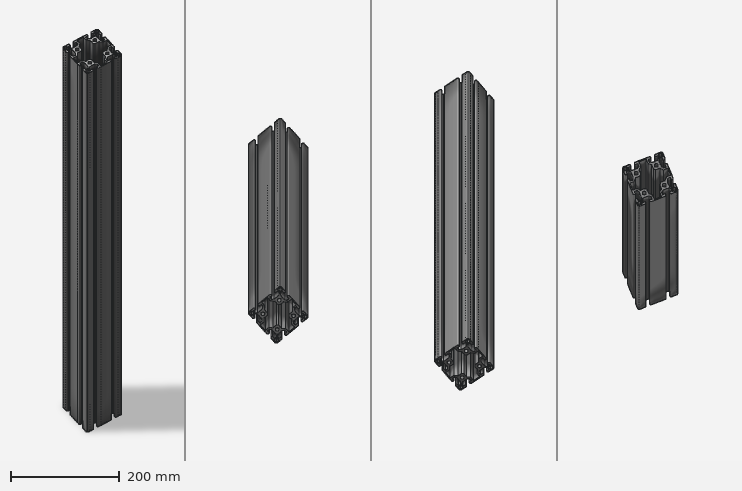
import cadquery as cq
import math

side = 80.0
length = 1000.0
half = side / 2
corner_radius = 4.0

slot_center = 20.0
opening_width = 8.0
mouth_radius = 2.0
lip_thickness = 4.5
channel_width = 19.0
taper_width = 3.5
taper_height = 2.5
slot_depth = 12.3
floor_sag = 0.5

face_drop = 0.2
middle_flat_width = 9.0

wall = 2.2
arm_width = 14.0
room_width = 25.0
room_corner_chamfer = 3.0
flare_start = 24.0
flare_end = 29.0

cell_inner = 31.5
cell_size = half - wall - cell_inner
cell_center = cell_inner + cell_size / 2
core_diameter = 6.8


def turned(x, y, quarter):
    """Turn a point about the profile axis by a number of quarter turns."""
    for _ in range(quarter):
        x, y = -y, x
    return x, y


def arc_point(radius, degrees):
    """Offset from an arc's center to its point at an angle measured from the X axis."""
    angle = math.radians(degrees)
    return radius * math.cos(angle), radius * math.sin(angle)


def add_slot(outline, middle, quarter):
    """Trace a T-slot of the +Y side from its right lip to its left lip, turned to its own side."""

    def at(offset, y):
        return turned(middle + offset, y, quarter)

    mouth = opening_width / 2
    channel = channel_width / 2
    floor_half = channel - taper_width
    face_y = half - face_drop
    mouth_y = face_y - mouth_radius
    lip_y = half - lip_thickness
    bottom_y = half - slot_depth
    floor_y = bottom_y + floor_sag
    taper_y = floor_y + taper_height
    round_edge = mouth + mouth_radius
    bulge = arc_point(mouth_radius, 45)[0]
    return (
        outline.lineTo(*at(round_edge, face_y))
        .threePointArc(at(round_edge - bulge, mouth_y + bulge), at(mouth, mouth_y))
        .lineTo(*at(mouth, lip_y))
        .lineTo(*at(channel, lip_y))
        .lineTo(*at(channel, taper_y))
        .lineTo(*at(floor_half, floor_y))
        .threePointArc(at(0, bottom_y), at(-floor_half, floor_y))
        .lineTo(*at(-channel, taper_y))
        .lineTo(*at(-channel, lip_y))
        .lineTo(*at(-mouth, lip_y))
        .lineTo(*at(-mouth, mouth_y))
        .threePointArc(at(bulge - round_edge, mouth_y + bulge), at(-round_edge, face_y))
    )


def add_corner(outline, quarter):
    """Round the corner left of the +Y side with two arcs that meet on the diagonal."""
    shoulder = half - corner_radius

    def at(degrees):
        dx, dy = arc_point(corner_radius, degrees)
        return turned(dx - shoulder, dy + shoulder, quarter)

    return outline.threePointArc(at(112.5), at(135)).threePointArc(at(157.5), at(180))


def outer_outline():
    """Outer outline, traced counter-clockwise one side at a time."""
    shoulder = half - corner_radius
    flat = middle_flat_width / 2
    outline = cq.Workplane("XY", origin=(0, 0, -length / 2)).moveTo(shoulder, half)
    for quarter in range(4):
        outline = add_slot(outline, slot_center, quarter)
        outline = outline.lineTo(*turned(flat, half, quarter))
        outline = outline.lineTo(*turned(-flat, half, quarter))
        outline = add_slot(outline, -slot_center, quarter)
        outline = outline.lineTo(*turned(-shoulder, half, quarter))
        outline = add_corner(outline, quarter)
    return outline.close()


def central_cavity():
    """Corner points of the central cavity, counter-clockwise from the right of the +Y arm."""
    room = room_width / 2
    arm = arm_width / 2
    right = [
        (room, room + room_corner_chamfer),
        (room, flare_start),
        (arm, flare_end),
        (arm, half - wall),
    ]
    left = [(-x, y) for x, y in reversed(right)]
    return [turned(x, y, quarter) for quarter in range(4) for x, y in right + left]


def on_diagonals(distance):
    """The four points at the same distance from both axes."""
    return [turned(distance, distance, quarter) for quarter in range(4)]


section = outer_outline().polyline(central_cavity()).close()
section = section.pushPoints(on_diagonals(cell_center)).rect(cell_size, cell_size)
section = section.pushPoints(on_diagonals(slot_center)).circle(core_diameter / 2)
result = section.extrude(length)